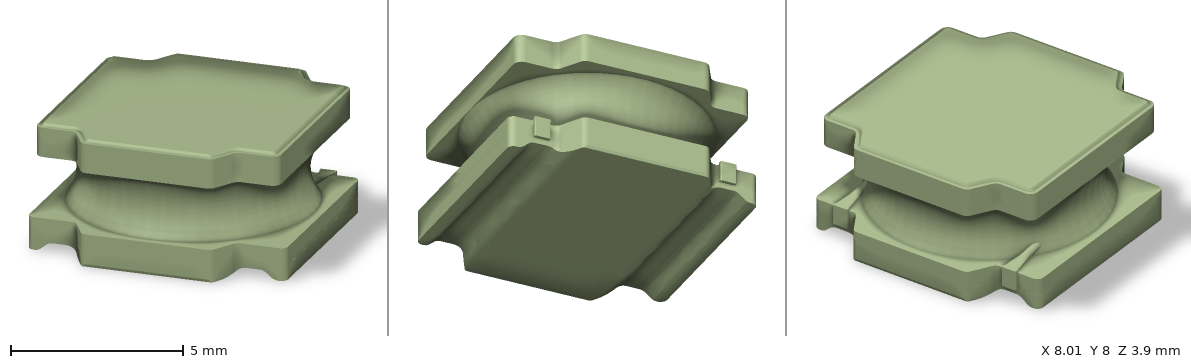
import cadquery as cq
import math

total_height = 3.9
lower_flange_top = 1.01
upper_flange_bottom = 2.91
lip_height = 0.09
lip_base = total_height - lip_height

core_depth = 8.0
lower_flange_width = 8.0
upper_flange_width = 7.53
shoulder_depth = 6.31
tab_tip_width = 4.005
tab_side_angle = 60.0
lower_corner_radius = 0.21
upper_corner_radius = 0.265
lip_inset = 0.13
lip_slope_width = 0.065
tab_bevel_height = 0.09
tab_bevel_width = 0.03

post_diameter = 3.75
coil_inner_diameter = 4.0
filler_end_radius = 3.75
filler_waist_radius = 3.405

wire_diameter = 0.25
lead_center_x = 2.995
lead_straight_height = 1.19
lead_bend_y = 1.995
lead_flattening_y = 2.355
lead_flattening_height = 1.145
lead_flat_width = 0.51
lead_flat_thickness = 0.1
lead_drop_thickness = 0.12
lead_drop_edge_radius = 0.04
coil_outer_radius = lead_center_x + wire_diameter / 2

terminal_inner_x = 2.0
terminal_top = 0.46
terminal_skin = 0.004
seat_outer_x = 3.765
seat_outer_height = 0.15
seat_roof_outer_x = 3.5
seat_roof_inner_x = 2.515
seat_inner_x = 2.19
seat_inner_height = 0.08
groove_height = 0.27
groove_outer_x = 3.78
groove_roof_outer_x = 3.19
groove_roof_inner_x = 2.8
groove_inner_x = 2.13

mirrored_sides = (-1, 1)


def flange_prism(width, corner_radius, height):
    """Vertical prism with the tabbed outline and rounded corners, standing on Z = 0."""
    half_width = width / 2
    half_shoulder = shoulder_depth / 2
    half_depth = core_depth / 2
    half_tip = tab_tip_width / 2
    tab_run = (half_depth - half_shoulder) / math.tan(math.radians(tab_side_angle))
    half_root = half_tip + tab_run
    back_half = [
        (half_width, half_shoulder),
        (half_root, half_shoulder),
        (half_tip, half_depth),
        (-half_tip, half_depth),
        (-half_root, half_shoulder),
        (-half_width, half_shoulder),
    ]
    front_half = [(-x, -y) for x, y in back_half]
    prism = cq.Workplane("XY").polyline(back_half + front_half).close().extrude(height)
    return prism.edges("|Z").fillet(corner_radius)


def along_y(profile):
    """Extrude an XZ profile through the whole depth of the part, both ways from Y = 0, to clear it fully."""
    return profile.extrude(core_depth, both=True)


def terminal_seat(side):
    """Recess under one end of the lower flange that receives a terminal."""
    beyond_end = lower_flange_width
    profile = cq.Workplane("XZ").polyline([
        (side * beyond_end, 0),
        (side * beyond_end, seat_outer_height),
        (side * seat_outer_x, seat_outer_height),
        (side * seat_roof_outer_x, terminal_top),
        (side * seat_roof_inner_x, terminal_top),
        (side * seat_inner_x, seat_inner_height),
        (side * terminal_inner_x, seat_inner_height),
        (side * terminal_inner_x, 0),
    ]).close()
    return along_y(profile)


def terminal_groove(side):
    """Smooth groove along Y in the underside of a terminal."""
    level = (side, 0)
    roof_inner = (side * groove_roof_inner_x, groove_height)
    roof_outer = (side * groove_roof_outer_x, groove_height)
    foot_outer = (side * groove_outer_x, 0)
    profile = (
        cq.Workplane("XZ")
        .moveTo(side * groove_inner_x, 0)
        .spline([roof_inner], tangents=[level, level], includeCurrent=True)
        .lineTo(*roof_outer)
        .spline([foot_outer], tangents=[level, level], includeCurrent=True)
        .close()
    )
    return along_y(profile)


def tab_bevel(side):
    """Wedge removed from the bottom edge of a tab tip."""
    tip_y = side * core_depth / 2
    return (
        cq.Workplane("YZ")
        .polyline([(tip_y, 0), (tip_y - side * tab_bevel_width, 0), (tip_y, tab_bevel_height)])
        .close()
        .extrude(tab_tip_width / 2, both=True)
    )


def make_core():
    """Drum core: lower flange, round post and upper flange with a sloped lip on top."""
    lower_flange = flange_prism(lower_flange_width, lower_corner_radius, lower_flange_top)
    for side in mirrored_sides:
        lower_flange = lower_flange.cut(terminal_seat(side)).cut(tab_bevel(side))

    post = (
        cq.Workplane("XY")
        .workplane(offset=lower_flange_top)
        .circle(post_diameter / 2)
        .extrude(upper_flange_bottom - lower_flange_top)
    )
    upper_flange = flange_prism(
        upper_flange_width, upper_corner_radius, lip_base - upper_flange_bottom
    ).translate((0, 0, upper_flange_bottom))
    lip_slope_angle = math.degrees(math.atan(lip_slope_width / lip_height))
    lip = (
        upper_flange.faces(">Z").wires().toPending()
        .workplane()
        .offset2D(-lip_inset)
        .extrude(lip_height, taper=lip_slope_angle, combine=False)
    )
    return lower_flange.union(post).union(upper_flange).union(lip)


def lead_plane(y, z):
    """Sketch plane across a lead, facing +Y, with its origin on the wire axis."""
    return cq.Workplane(cq.Plane(origin=(0, y, z), xDir=(1, 0, 0), normal=(0, 1, 0)))


def make_lead(side):
    """Wire end that leaves the coil along +Y, flattens over the flange and bends down its side."""
    wall_y = shoulder_depth / 2
    outer_y = wall_y + lead_drop_thickness
    flat_top = lower_flange_top + lead_flat_thickness
    flat_height = lower_flange_top + lead_flat_thickness / 2
    wire_radius = wire_diameter / 2

    straight = lead_plane(0, lead_straight_height).circle(wire_radius).extrude(lead_bend_y)
    sloped = (
        lead_plane(lead_bend_y, lead_straight_height)
        .circle(wire_radius)
        .workplane(offset=lead_flattening_y - lead_bend_y)
        .center(0, lead_straight_height - lead_flattening_height)
        .circle(wire_radius)
        .loft(ruled=True)
    )
    flattened = (
        lead_plane(lead_flattening_y, lead_flattening_height)
        .circle(wire_radius)
        .workplane(offset=outer_y - lead_flattening_y)
        .center(0, lead_flattening_height - flat_height)
        .slot2D(lead_flat_width, lead_flat_thickness)
        .loft(ruled=True)
    )
    drop = (
        cq.Workplane("XY")
        .workplane(offset=terminal_top)
        .center(0, (wall_y + outer_y) / 2)
        .rect(lead_flat_width, lead_drop_thickness)
        .extrude(flat_top - terminal_top)
        .edges("|Z and >Y")
        .fillet(lead_drop_edge_radius)
    )
    lead = straight.union(sloped).union(flattened).union(drop)
    return lead.translate((side * lead_center_x, 0, 0))


def make_coil():
    """Ring-shaped winding with a wire end tangent to it on either side."""
    coil = (
        cq.Workplane("XY")
        .workplane(offset=lower_flange_top)
        .circle(coil_outer_radius)
        .circle(coil_inner_diameter / 2)
        .extrude(upper_flange_bottom - lower_flange_top)
    )
    for side in mirrored_sides:
        coil = coil.union(make_lead(side))
    return coil


def make_filler(coil):
    """Resin around the coil with a waisted outer surface."""
    middle_height = (lower_flange_top + upper_flange_bottom) / 2
    return (
        cq.Workplane("XZ")
        .moveTo(coil_outer_radius, lower_flange_top)
        .lineTo(filler_end_radius, lower_flange_top)
        .threePointArc((filler_waist_radius, middle_height), (filler_end_radius, upper_flange_bottom))
        .lineTo(coil_outer_radius, upper_flange_bottom)
        .close()
        .revolve(360, (0, 0, 0), (0, 1, 0))
        .cut(coil)
    )


def make_terminal(side, core, coil):
    """Solder terminal filling a flange seat and wrapping the flange end with a thin skin."""
    envelope = flange_prism(lower_flange_width, lower_corner_radius, terminal_top)
    envelope = envelope.faces("<Z").wires().toPending().offset2D(terminal_skin).extrude(terminal_top)
    end_zone = (
        cq.Workplane("XY")
        .box(lower_flange_width, 2 * core_depth, 2 * core_depth)
        .translate((side * (terminal_inner_x + lower_flange_width / 2), 0, 0))
    )
    return envelope.intersect(end_zone).cut(core).cut(coil).cut(terminal_groove(side))


core = make_core()
coil = make_coil()
filler = make_filler(coil)
terminals = [make_terminal(side, core, coil) for side in mirrored_sides]

result = cq.Compound.makeCompound([
    core.solids().val(),
    coil.solids().val(),
    filler.solids().val(),
    *[terminal.solids().val() for terminal in terminals],
])